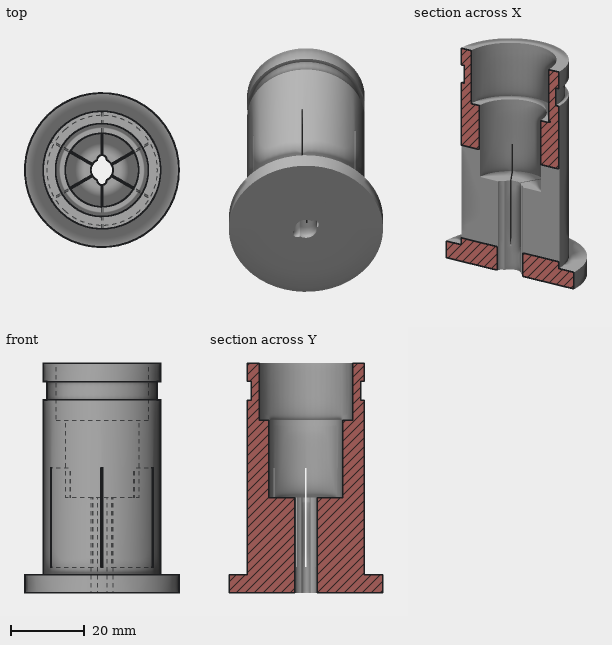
import cadquery as cq

total_height = 62.5
flange_radius = 21.0
flange_height = 5.0
sleeve_radius = 16.0

rim_height = 5.0
groove_height = 5.0
groove_radius = 15.0

upper_bore_radius = 12.65
upper_bore_depth = 15.5
lower_bore_radius = 10.0
bore_floor_z = 26.0

hole_radius = 3.0
relief_radius = 1.25
relief_offset = 2.8

slot_count = 6
slot_width = 0.4
slot_bottom_z = 7.0
slot_top_z = 34.0


def cylinder(radius, bottom_z, top_z, center_y=0.0):
    """Upright cylinder between two heights."""
    base = cq.Workplane("XY").workplane(offset=bottom_z)
    return base.center(0, center_y).circle(radius).extrude(top_z - bottom_z)


def outer_body():
    """Flanged sleeve with the groove turned into it."""
    flange = cylinder(flange_radius, 0, flange_height)
    sleeve = cylinder(sleeve_radius, 0, total_height)
    groove_top_z = total_height - rim_height
    groove_bottom_z = groove_top_z - groove_height
    groove_band = cylinder(sleeve_radius, groove_bottom_z, groove_top_z)
    groove = groove_band.cut(cylinder(groove_radius, groove_bottom_z, groove_top_z))
    return flange.union(sleeve).cut(groove)


def stepped_bore():
    """Wide upper bore that steps down to the narrower lower bore."""
    ledge_z = total_height - upper_bore_depth
    upper_bore = cylinder(upper_bore_radius, ledge_z, total_height)
    lower_bore = cylinder(lower_bore_radius, bore_floor_z, ledge_z)
    return upper_bore.union(lower_bore)


def center_hole():
    """Through hole widened by two opposite round reliefs."""
    hole = cylinder(hole_radius, 0, bore_floor_z)
    for side in (-1, 1):
        relief = cylinder(relief_radius, 0, bore_floor_z, side * relief_offset)
        hole = hole.union(relief)
    return hole


def radial_slots():
    """Thin slots running from the axis out through the sleeve, one along +Y."""
    slot_height = slot_top_z - slot_bottom_z
    slot = (
        cq.Workplane("XY")
        .workplane(offset=slot_bottom_z)
        .center(0, flange_radius / 2)
        .rect(slot_width, flange_radius)
        .extrude(slot_height)
    )
    slots = cq.Workplane("XY")
    for index in range(slot_count):
        angle = index * 360.0 / slot_count
        slots = slots.add(slot.rotate((0, 0, 0), (0, 0, 1), angle))
    return slots.combine()


result = outer_body().cut(stepped_bore()).cut(center_hole()).cut(radial_slots())